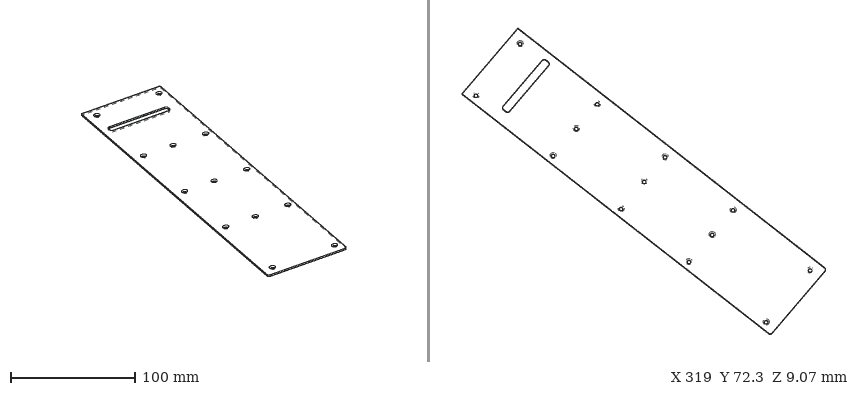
import cadquery as cq

length = 319.0
width = 72.5
thickness = 1.5
tilt = 6.0
corner_radius = 2.0

hole_diameter = 2.9
sink_diameter = 5.0
sink_angle = 90.0
outer_column = 150.0
inner_column = 70.2
back_row = 30.0
middle_row = 0.0
front_row = -27.0

slot_x = -124.0
slot_width = 6.7
slot_front = -29.5
slot_corner_radius = 2.2
slot_back = 25.2

outer_columns = [-outer_column, outer_column]
inner_columns = [-inner_column, 0, inner_column]
hole_points = [(x, y) for x in outer_columns + inner_columns for y in (back_row, front_row)]
hole_points += [(x, middle_row) for x in inner_columns]

plate = cq.Workplane("XY").box(length, width, thickness)
plate = plate.edges("|Z and >X").fillet(corner_radius)

plate = (
    plate.faces(">Z").workplane(origin=(0, 0, 0))
    .pushPoints(hole_points)
    .cskHole(hole_diameter, sink_diameter, sink_angle)
)

slot = (
    cq.Workplane("XY")
    .center(slot_x, (slot_front + slot_back) / 2)
    .box(slot_width, slot_back - slot_front, thickness)
    .edges("|Z")
    .fillet(slot_corner_radius)
)
plate = plate.cut(slot)

result = plate.rotate((0, 0, 0), (1, 0, 0), tilt)